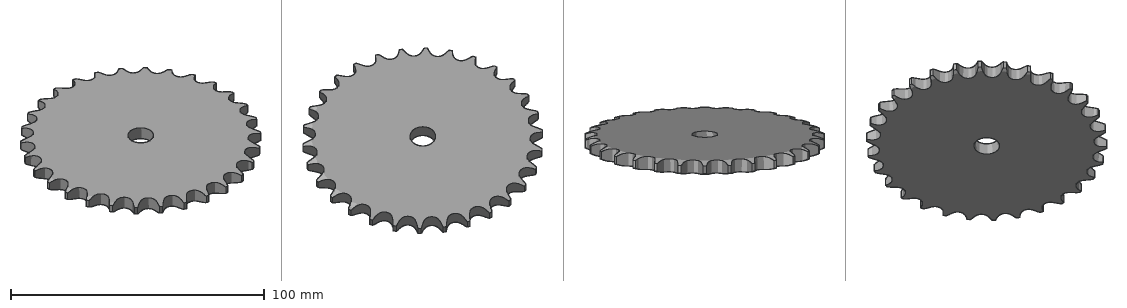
import cadquery as cq
import math

TEETH = 30
OUTER_RADIUS = 47.35
PITCH_RADIUS = 45.55
ROLLER_DIAMETER = 6.3
SEAT_RADIUS = 3.2
THICKNESS = 5.3
BORE_DIAMETER = 10.0

BEVEL_START_RADIUS = 42.8
BEVEL_ARC_RADIUS = 10.0

WORKING_CENTRE_OFFSET = 0.8 * ROLLER_DIAMETER
TOPPING_CENTRE_OFFSET = 1.4 * ROLLER_DIAMETER
HALF_PITCH_ANGLE = math.radians(180 / TEETH)
SEAT_ANGLE = math.radians(35 + 60 / TEETH)
WORKING_ANGLE = math.radians(18 - 56 / TEETH)
TOPPING_ANGLE = math.radians(17 - 64 / TEETH)

CUT_MARGIN = 1.9


def polar(centre, radius, angle):
    """Point at a distance and direction from a centre."""
    return (centre[0] + radius * math.cos(angle), centre[1] + radius * math.sin(angle))


def mirrored(point):
    return (-point[0], point[1])


def tooth_gap():
    """Cutter for the gap centred on +Y, from tooth centre line to tooth centre line."""
    seat_centre = (0, PITCH_RADIUS)
    seat_bottom = (0, PITCH_RADIUS - SEAT_RADIUS)

    working_radius = SEAT_RADIUS + WORKING_CENTRE_OFFSET
    working_centre = polar(seat_centre, WORKING_CENTRE_OFFSET, math.pi - SEAT_ANGLE)
    flank_angle = WORKING_ANGLE - SEAT_ANGLE
    seat_end = polar(seat_centre, SEAT_RADIUS, -SEAT_ANGLE)
    working_mid = polar(working_centre, working_radius, flank_angle - WORKING_ANGLE / 2)
    working_end = polar(working_centre, working_radius, flank_angle)

    topping_radius = (
        WORKING_CENTRE_OFFSET * math.cos(WORKING_ANGLE)
        + TOPPING_CENTRE_OFFSET * math.cos(TOPPING_ANGLE)
        - working_radius
    )
    topping_centre = polar(seat_centre, TOPPING_CENTRE_OFFSET, -HALF_PITCH_ANGLE)
    topping_start = polar(topping_centre, topping_radius, math.pi + flank_angle)

    tooth_direction = math.pi / 2 - HALF_PITCH_ANGLE
    half_chord = PITCH_RADIUS * math.sin(HALF_PITCH_ANGLE)
    centre_to_tooth_line = TOPPING_CENTRE_OFFSET - half_chord
    topping_height = math.sqrt(topping_radius**2 - centre_to_tooth_line**2)
    tip_radius = PITCH_RADIUS * math.cos(HALF_PITCH_ANGLE) + topping_height
    tip = polar((0, 0), tip_radius, tooth_direction)
    tip_angle = math.atan2(tip[1] - topping_centre[1], tip[0] - topping_centre[0])
    topping_mid = polar(topping_centre, topping_radius, (math.pi + flank_angle + tip_angle) / 2)
    outside = polar((0, 0), tip_radius + CUT_MARGIN, tooth_direction)

    return (
        cq.Workplane("XY")
        .moveTo(*tip)
        .threePointArc(topping_mid, topping_start)
        .lineTo(*working_end)
        .threePointArc(working_mid, seat_end)
        .threePointArc(seat_bottom, mirrored(seat_end))
        .threePointArc(mirrored(working_mid), mirrored(working_end))
        .lineTo(*mirrored(topping_start))
        .threePointArc(mirrored(topping_mid), mirrored(tip))
        .lineTo(*mirrored(outside))
        .lineTo(*outside)
        .close()
        .extrude(THICKNESS / 2, both=True)
    )


def blank():
    """Turned disc whose rim curves in from both faces."""
    half = THICKNESS / 2

    def bevel_height(radius):
        reach = radius - BEVEL_START_RADIUS
        return half - BEVEL_ARC_RADIUS + math.sqrt(BEVEL_ARC_RADIUS**2 - reach**2)

    mid_radius = (BEVEL_START_RADIUS + OUTER_RADIUS) / 2
    mid_height = bevel_height(mid_radius)
    rim_height = bevel_height(OUTER_RADIUS)
    bore_radius = BORE_DIAMETER / 2
    return (
        cq.Workplane("XZ")
        .moveTo(bore_radius, -half)
        .lineTo(BEVEL_START_RADIUS, -half)
        .threePointArc((mid_radius, -mid_height), (OUTER_RADIUS, -rim_height))
        .lineTo(OUTER_RADIUS, rim_height)
        .threePointArc((mid_radius, mid_height), (BEVEL_START_RADIUS, half))
        .lineTo(bore_radius, half)
        .close()
        .revolve(360, (0, 0, 0), (0, 1, 0))
    )


result = blank()
gap = tooth_gap()
for index in range(TEETH):
    gap_direction = (index + 0.5) * 360 / TEETH
    result = result.cut(gap.rotate((0, 0, 0), (0, 0, 1), gap_direction - 90))